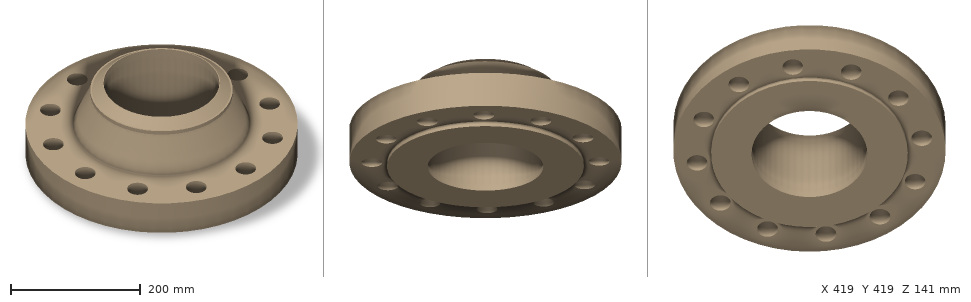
import cadquery as cq
import math

flange_diameter = 419.0
flange_thickness = 55.7

face_diameter = 302.5
face_height = 8.0

overall_height = 141.0
hub_base_diameter = 273.0
hub_root_fillet = 3.0
neck_diameter = 219.0
neck_land_height = 6.3

bevel_base_diameter = 213.5
bevel_top_diameter = 180.5
bevel_angle = 37.5

bore_diameter = 178.0
bolt_count = 12
bolt_circle_diameter = 349.5
bolt_hole_diameter = 32.0

flange_top = face_height + flange_thickness
bevel_height = (bevel_base_diameter - bevel_top_diameter) / 2 * math.tan(math.radians(bevel_angle))
land_top = overall_height - bevel_height
land_bottom = land_top - neck_land_height


def flange_and_neck():
    """Revolve half of the cross-section about the Z axis, bore included."""
    bore_radius = bore_diameter / 2
    face_radius = face_diameter / 2
    flange_radius = flange_diameter / 2
    neck_radius = neck_diameter / 2
    half_section = (
        cq.Workplane("XZ")
        .moveTo(bore_radius, 0)
        .lineTo(face_radius, 0)
        .lineTo(face_radius, face_height)
        .lineTo(flange_radius, face_height)
        .lineTo(flange_radius, flange_top)
        .lineTo(hub_base_diameter / 2, flange_top)
        .lineTo(neck_radius, land_bottom)
        .lineTo(neck_radius, land_top)
        .lineTo(bevel_base_diameter / 2, land_top)
        .lineTo(bevel_top_diameter / 2, overall_height)
        .lineTo(bore_radius, overall_height)
        .close()
    )
    return half_section.revolve(360, (0, 0, 0), (0, 1, 0))


def round_hub_root(body):
    """Fillet the circle where the conical hub meets the flange top."""
    reach = hub_base_diameter / 2 + hub_root_fillet
    root_region = cq.selectors.BoxSelector(
        (-reach, -reach, flange_top - hub_root_fillet),
        (reach, reach, flange_top + hub_root_fillet),
        boundingbox=True,
    )
    return body.edges(root_region).fillet(hub_root_fillet)


def bolt_holes():
    """Cylinders for the bolt holes, evenly spaced with one on the X axis."""
    return (
        cq.Workplane("XY")
        .polarArray(bolt_circle_diameter / 2, 0, 360, bolt_count)
        .circle(bolt_hole_diameter / 2)
        .extrude(flange_top)
    )


result = round_hub_root(flange_and_neck()).cut(bolt_holes())